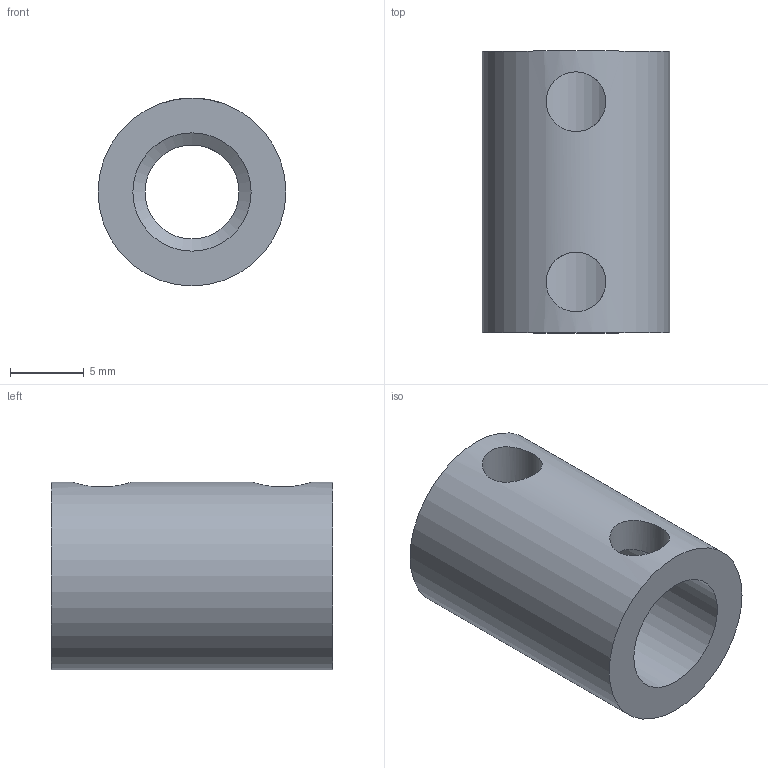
import cadquery as cq
import math

outer_diameter = 12.7
length = 19.05

large_bore_diameter = 8.0
small_bore_diameter = 6.35
large_bore_depth = length / 2
drill_point_angle = 118

screw_hole_diameter = 4.04
screw_hole_end_distance = 3.43

outer_radius = outer_diameter / 2
half_length = length / 2


def sleeve():
    """Revolve the wall section (X is the radius) around the Y axis."""
    large_radius = large_bore_diameter / 2
    small_radius = small_bore_diameter / 2
    shoulder_start = -half_length + large_bore_depth
    shoulder_length = (large_radius - small_radius) / math.tan(math.radians(drill_point_angle / 2))
    shoulder_end = shoulder_start + shoulder_length
    wall_section = [
        (large_radius, -half_length),
        (outer_radius, -half_length),
        (outer_radius, half_length),
        (small_radius, half_length),
        (small_radius, shoulder_end),
        (large_radius, shoulder_start),
    ]
    return cq.Workplane("XY").polyline(wall_section).close().revolve(axisStart=(0, 0, 0), axisEnd=(0, 1, 0))


def screw_holes():
    """Cutters from the axis out through the +Z wall, one near each end."""
    hole_y = half_length - screw_hole_end_distance
    return (
        cq.Workplane("XY")
        .pushPoints([(0, -hole_y), (0, hole_y)])
        .circle(screw_hole_diameter / 2)
        .extrude(outer_radius)
    )


result = sleeve().cut(screw_holes())